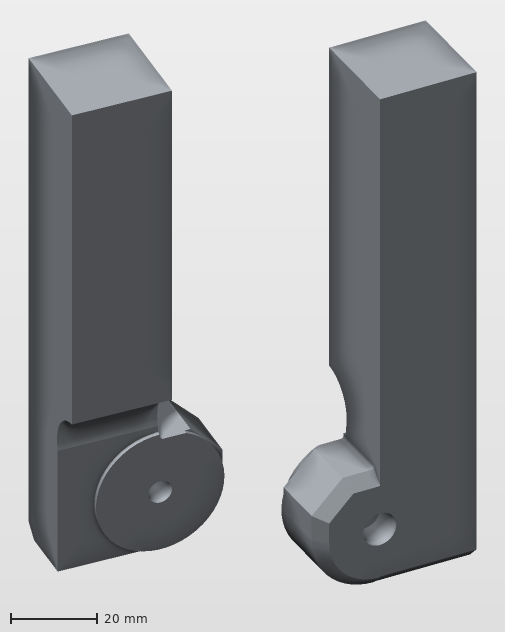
import cadquery as cq
import math

shank_width = 25.27
shank_height = 134.06
shank_chamfer = 3.2
overall_depth = 41.58

ear_radius = 16.2
pivot_y = overall_depth - ear_radius
pivot_z = ear_radius
ear_top_z = 31.0
ear_corner_run = ear_radius * math.tan(math.radians(22.5))
ear_chamfer = 3.0
root_fillet = 0.9

foot_thickness = 17.0
scoop_radius = 10.0
scoop_center_x = 26.6
scoop_center_z = 36.9
disc_height = 1.1

pivot_hole_diameter = 6.0
counterbore_diameter = 8.7
counterbore_depth = 8.0
drill_tip_angle = 118.0


def make_shank():
    """Square bar with its lower -X edge chamfered."""
    bar = cq.Workplane("XY").box(shank_width, shank_width, shank_height, centered=False)
    return bar.faces("<Z").edges("<X").chamfer(shank_chamfer)


def make_foot_relief():
    """Cutter that thins the foot and runs out through a round scoop."""
    slab = cq.Workplane("XY").box(
        shank_width - foot_thickness, shank_width, scoop_center_z, centered=False
    ).translate((foot_thickness, 0, 0))
    scoop = (
        cq.Workplane("XZ")
        .center(scoop_center_x, scoop_center_z)
        .circle(scoop_radius)
        .extrude(-shank_width)
    )
    return slab.union(scoop)


def make_profile_plate(thickness):
    """Plate with the ear outline behind the shank, blending into the shank's back face."""
    slope_start_z = pivot_z + ear_corner_run
    slope_end_y = overall_depth - (ear_top_z - slope_start_z)
    arc_middle = ear_radius * math.sqrt(0.5)
    fillet_middle = root_fillet * (1 - math.sqrt(0.5))
    return (
        cq.Workplane("YZ")
        .lineTo(pivot_y, 0)
        .threePointArc(
            (pivot_y + arc_middle, pivot_z - arc_middle),
            (overall_depth, pivot_z),
        )
        .lineTo(overall_depth, slope_start_z)
        .lineTo(slope_end_y, ear_top_z)
        .lineTo(shank_width + root_fillet, ear_top_z)
        .threePointArc(
            (shank_width + fillet_middle, ear_top_z + fillet_middle),
            (shank_width, ear_top_z + root_fillet),
        )
        .lineTo(shank_width, shank_height)
        .lineTo(0, shank_height)
        .close()
        .extrude(thickness)
    )


def make_ear():
    """Ear as thick as the foot, with its -X rim chamfered."""
    plate = make_profile_plate(foot_thickness).faces("<X").chamfer(ear_chamfer)
    behind_shank = cq.Workplane("XY").box(
        foot_thickness, overall_depth - shank_width, shank_height, centered=False
    ).translate((0, shank_width, 0))
    return plate.intersect(behind_shank)


def make_bearing_disc():
    """Shallow disc on the +X side, trimmed to the ear outline behind the shank."""
    disc = (
        cq.Workplane("YZ", origin=(foot_thickness, pivot_y, pivot_z))
        .circle(ear_radius)
        .extrude(disc_height)
    )
    return disc.intersect(make_profile_plate(foot_thickness + disc_height))


def make_pivot_hole():
    """Through hole with a counterbore that ends in a drill-point cone."""
    hole_radius = pivot_hole_diameter / 2
    bore_radius = counterbore_diameter / 2
    tip_length = (bore_radius - hole_radius) / math.tan(math.radians(drill_tip_angle / 2))
    return (
        cq.Workplane("XY")
        .lineTo(0, bore_radius)
        .lineTo(counterbore_depth, bore_radius)
        .lineTo(counterbore_depth + tip_length, hole_radius)
        .lineTo(shank_width, hole_radius)
        .lineTo(shank_width, 0)
        .close()
        .revolve(360, (0, 0, 0), (1, 0, 0))
        .translate((0, pivot_y, pivot_z))
    )


body = make_shank().cut(make_foot_relief()).union(make_ear())
body = body.union(make_bearing_disc())
result = body.cut(make_pivot_hole())